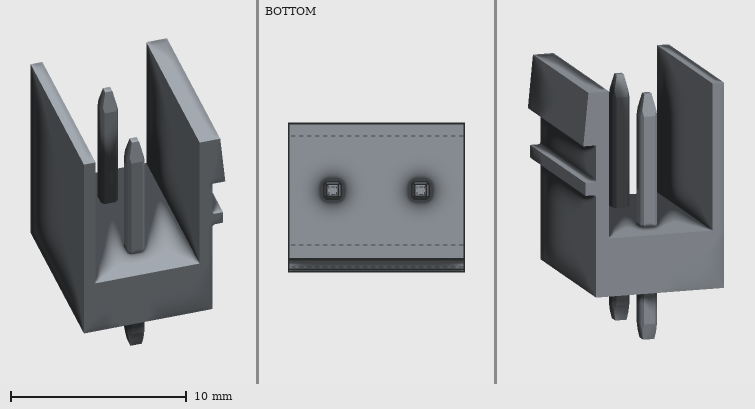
import cadquery as cq

pin_pitch = 5.0
pin_count = 2
housing_length = pin_count * pin_pitch
housing_bottom = 3.2
housing_top = 15.2
floor_thickness = 3.4
floor_top = housing_bottom + floor_thickness
front_wall_thickness = 0.7
back_wall_inner_y = 6.9
back_wall_outer_y = 7.68

latch_bottom = 12.1
latch_top_y = 8.13
latch_tip_y = 8.44

rib_bottom = 9.2
rib_height = 0.75
rib_outer_y = 8.3
rib_root_radius = 0.15

pin_width = 1.0
pin_edge_chamfer = 0.17
pin_y = 3.8
pin_length = 14.32
upper_tip_width = 0.43
upper_taper_length = 1.26
lower_tip_width = 0.67
lower_taper_length = 0.93


def make_pin(x):
    """One pin standing on Z = 0, centred at (x, pin_y)."""
    upper_taper_start = pin_length - upper_taper_length
    bar = (
        cq.Workplane("XY")
        .rect(pin_width, pin_width)
        .extrude(pin_length)
        .edges("|Z")
        .chamfer(pin_edge_chamfer)
    )
    lower_taper = (
        cq.Workplane("XY")
        .rect(lower_tip_width, lower_tip_width)
        .workplane(offset=lower_taper_length)
        .rect(pin_width, pin_width)
        .loft(ruled=True)
    )
    shank = (
        cq.Workplane("XY", origin=(0, 0, lower_taper_length))
        .rect(pin_width, pin_width)
        .extrude(upper_taper_start - lower_taper_length)
    )
    upper_taper = (
        cq.Workplane("XY", origin=(0, 0, upper_taper_start))
        .rect(pin_width, pin_width)
        .workplane(offset=upper_taper_length)
        .rect(upper_tip_width, upper_tip_width)
        .loft(ruled=True)
    )
    envelope = shank.union(lower_taper).union(upper_taper)
    return bar.intersect(envelope).translate((x, pin_y, 0))


def make_housing(pins):
    """U-shaped housing with latch and rib, bored to fit the pins."""
    rib_top = rib_bottom + rib_height
    rib_root_y = back_wall_outer_y + rib_root_radius
    arc_end_below = rib_bottom - rib_root_radius
    arc_end_above = rib_top + rib_root_radius
    profile = (
        cq.Workplane("YZ")
        .moveTo(0, housing_bottom)
        .lineTo(back_wall_outer_y, housing_bottom)
        .lineTo(back_wall_outer_y, arc_end_below)
        .tangentArcPoint((rib_root_y, rib_bottom), relative=False)
        .lineTo(rib_outer_y, rib_bottom)
        .lineTo(rib_outer_y, rib_top)
        .lineTo(rib_root_y, rib_top)
        .tangentArcPoint((back_wall_outer_y, arc_end_above), relative=False)
        .lineTo(back_wall_outer_y, latch_bottom)
        .lineTo(latch_tip_y, latch_bottom)
        .lineTo(latch_top_y, housing_top)
        .lineTo(back_wall_inner_y, housing_top)
        .lineTo(back_wall_inner_y, floor_top)
        .lineTo(front_wall_thickness, floor_top)
        .lineTo(front_wall_thickness, housing_top)
        .lineTo(0, housing_top)
        .close()
    )
    housing = profile.extrude(housing_length / 2, both=True)
    for pin in pins:
        housing = housing.cut(pin)
    return housing


first_pin_x = -pin_pitch * (pin_count - 1) / 2
pins = [make_pin(first_pin_x + i * pin_pitch) for i in range(pin_count)]
housing = make_housing(pins)

result = cq.Compound.makeCompound([housing.solids().val(), *[pin.solids().val() for pin in pins]])